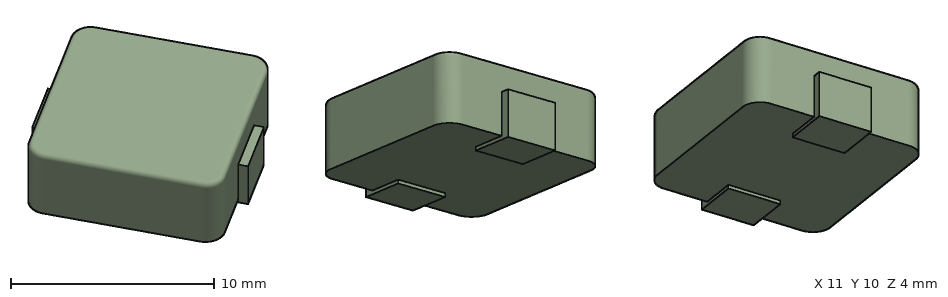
import cadquery as cq

body_side = 10.0
corner_radius = 1.0
top_edge_radius = 0.25
overall_height = 4.0

overall_length = 11.0
terminal_width = 3.0
terminal_height = 2.5
foot_length = 2.5
foot_thickness = 0.2

terminal_protrusion = (overall_length - body_side) / 2
body_height = overall_height - foot_thickness


def make_body():
    """Square block with rounded corners and a rounded top edge, raised on the feet."""
    return (
        cq.Workplane("XY")
        .workplane(offset=foot_thickness)
        .rect(body_side, body_side)
        .extrude(body_height)
        .edges("|Z")
        .fillet(corner_radius)
        .faces(">Z")
        .edges()
        .fillet(top_edge_radius)
    )


def make_terminal(side):
    """L-shaped terminal: a plate on the end face and a foot under the body; side is -1 or +1."""
    outer_x = side * overall_length / 2
    plate_inner_x = side * (overall_length / 2 - terminal_protrusion)
    foot_inner_x = side * (overall_length / 2 - foot_length)
    return (
        cq.Workplane("XZ")
        .moveTo(outer_x, 0)
        .lineTo(outer_x, terminal_height)
        .lineTo(plate_inner_x, terminal_height)
        .lineTo(plate_inner_x, foot_thickness)
        .lineTo(foot_inner_x, foot_thickness)
        .lineTo(foot_inner_x, 0)
        .close()
        .extrude(terminal_width / 2, both=True)
    )


result = make_body()
for side in (-1, 1):
    result = result.union(make_terminal(side))